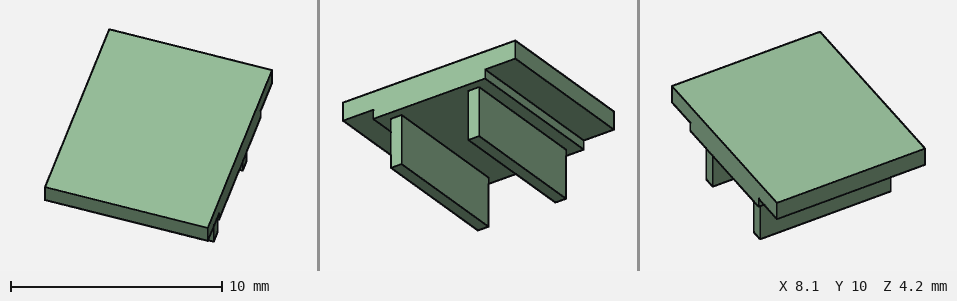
import cadquery as cq

plate_width = 8.1
plate_length = 10.0
plate_thickness = 1.0

step_length = 6.5
step_thickness = 0.5

total_height = 4.2
leg_width = 7.14
leg_thickness = 0.62
leg_outer_span = 5.12
leg_height = total_height - plate_thickness - step_thickness
leg_offset = (leg_outer_span - leg_thickness) / 2


def block(width, length, height, bottom, y=0.0):
    """Box centred on X, centred at y, standing on the height bottom."""
    return (
        cq.Workplane("XY")
        .box(width, length, height, centered=(True, True, False))
        .translate((0, y, bottom))
    )


plate = block(plate_width, plate_length, plate_thickness, leg_height + step_thickness)
step = block(plate_width, step_length, step_thickness, leg_height)

result = plate.union(step)
for side in (-1, 1):
    leg = block(leg_width, leg_thickness, leg_height, 0.0, side * leg_offset)
    result = result.union(leg)